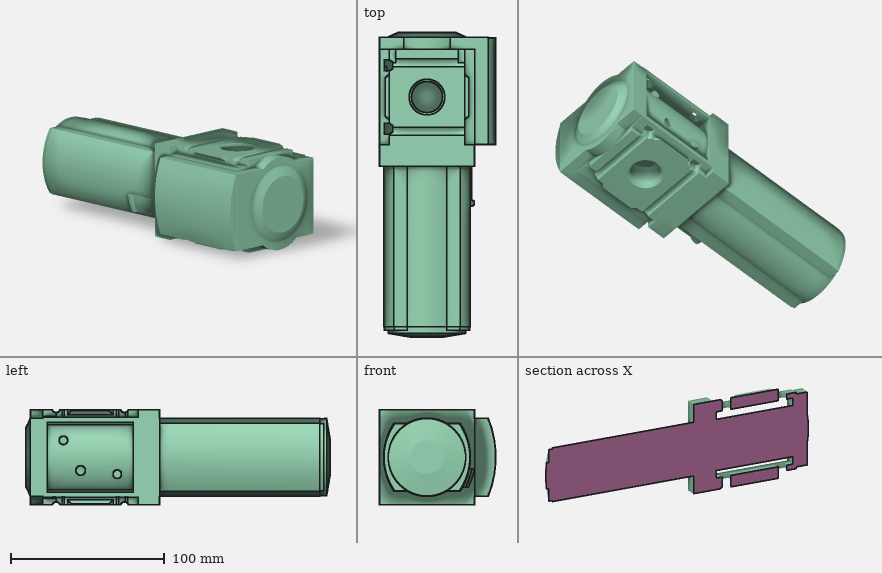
import cadquery as cq


half_body = 31.0
body_front = -45.0
body_rear = 39.0

frame_end = 31.0
strip_z = 26.0
rim_z = 25.4
pad_half_width = 24.4
rim_bulge_half_width = 15.0

groove_y = 22.2
groove_half_width = 2.6
groove_depth = 1.9
ridge_half_width = 20.3
corner_notch_z = 26.6

lug_reach = 2.7
lug_top = half_body - 0.2
lug_lip_z = 30.2
lug_foot_z = 27.7
lug_half_root = 14.8
lug_half_tip = 12.5

slot_y = 20.6
slot_half_width = 3.6
slot_key_half_width = 2.2
slot_outer_x = -27.7
slot_key_x = -22.4

port_diameter = 20.2
port_rim_diameter = 23.2
port_depth = 20.0
port_chamfer = (port_rim_diameter - port_diameter) / 2

window_half_length = 28.0
window_half_height = 22.7
window_floor_x = -20.5
barrel_radius = 29.5
pin_diameter = 5.5
pin_tip_x = -29.0
pin_y = 17.5
pin_z = 11.0
spot_diameter = 6.2
spot_y = 6.3
spot_z = -8.6
spot_floor_x = -26.9

rear_boss_base_radius = 25.2
rear_boss_tip_radius = 18.8
rear_boss_height = 3.0

cover_half_height = rim_z
cover_flat_x = 39.8
cover_crown_x = 44.8
cover_crown_rear = 38.5

bowl_half_width = 28.2
bowl_half_flat = 21.5
bowl_half_height = 22.0
bowl_end = -149.2
bowl_core_radius = 25.5
cap_radius = 25.2
cap_inset = 0.3
cap_collar_end = -151.7
cap_edge = -153.6
cap_tip = -156.0
cap_tip_radius = 11.0

latch_thickness = 1.7
latch_nose_height = 3.3
latch_nose_start = -66.8
latch_end = -71.0
latch_nose_slope = 1.0
latch_z_low = -19.4
latch_z_high = -7.5


def span_box(x0, x1, y0, y1, z0, z1):
    """Box given by its limits along the three axes."""
    return cq.Workplane("XY").box(x1 - x0, y1 - y0, z1 - z0, centered=False).translate((x0, y0, z0))


def prism_y(section, y0, y1):
    """Extrude an XZ section from y0 up to y1; the XZ plane faces -Y."""
    return section.extrude(y0 - y1).translate((0, y0, 0))


def xz():
    return cq.Workplane("XZ")


def turn_y(outline):
    """Turn a closed (radius, y) outline about the Y axis."""
    return outline.close().revolve(360, (0, 0, 0), (0, 1, 0))


def mirror_z(shape):
    """A shape together with its mirror image below the XY plane."""
    return shape.union(shape.mirror("XY"))


def top_cuts():
    """Material removed around and across the upper pad."""
    cuts = span_box(-half_body, half_body, frame_end, body_rear, rim_z, half_body)
    for side in (-1, 1):
        edges = sorted((side * pad_half_width, side * half_body))
        cuts = cuts.union(span_box(*edges, -frame_end, frame_end, strip_z, half_body))
        edges = sorted((side * ridge_half_width, side * pad_half_width))
        cuts = cuts.union(span_box(*edges, groove_y, frame_end, corner_notch_z, half_body))
    for y in (-groove_y, groove_y):
        groove = (
            cq.Workplane("YZ")
            .moveTo(y - groove_half_width, half_body)
            .threePointArc((y, half_body - groove_depth), (y + groove_half_width, half_body))
            .close()
            .extrude(pad_half_width, both=True)
        )
        cuts = cuts.union(groove)
    return cuts


def rim_bulge():
    """Arched rise in the middle of the rear rim."""
    arch = (
        xz()
        .moveTo(-rim_bulge_half_width, rim_z)
        .threePointArc((0, half_body), (rim_bulge_half_width, rim_z))
        .close()
    )
    return prism_y(arch, frame_end, body_rear)


def lug():
    """Wedge lug on the +X flank of the upper pad, narrowing outwards."""
    tip_x = pad_half_width + lug_reach
    wedge = prism_y(
        xz().polyline([
            (pad_half_width, lug_foot_z),
            (tip_x, lug_lip_z),
            (tip_x, lug_top),
            (pad_half_width, lug_top),
        ]).close(),
        -lug_half_root,
        lug_half_root,
    )
    plan = (
        cq.Workplane("XY")
        .polyline([
            (pad_half_width, -lug_half_root),
            (tip_x, -lug_half_tip),
            (tip_x, lug_half_tip),
            (pad_half_width, lug_half_root),
        ])
        .close()
        .extrude(half_body)
    )
    return wedge.intersect(plan)


def keyed_slot(y):
    """Slot from the upper face through the strip into the side window."""
    outline = cq.Workplane("XY").workplane(offset=window_half_height).polyline([
        (slot_outer_x, y - slot_half_width),
        (-pad_half_width, y - slot_half_width),
        (slot_key_x, y - slot_key_half_width),
        (slot_key_x, y + slot_key_half_width),
        (-pad_half_width, y + slot_half_width),
        (slot_outer_x, y + slot_half_width),
    ])
    return outline.close().extrude(half_body - window_half_height)


def port():
    """Blind port with a chamfered mouth in the upper face."""
    bore = cq.Workplane("XY").workplane(offset=half_body - port_depth).circle(port_diameter / 2)
    mouth = cq.Workplane("XY").workplane(offset=half_body).circle(port_rim_diameter / 2)
    cone = mouth.workplane(offset=-port_chamfer).circle(port_diameter / 2).loft()
    return bore.extrude(port_depth).union(cone)


def window():
    """Side window around the convex barrel, with its two pins and shallow flat spot."""
    opening = span_box(
        -half_body, window_floor_x,
        -window_half_length, window_half_length,
        -window_half_height, window_half_height,
    )
    barrel = prism_y(xz().circle(barrel_radius), -window_half_length, window_half_length)
    opening = opening.cut(barrel)
    for y, z in ((pin_y, pin_z), (-pin_y, -pin_z)):
        pin = cq.Workplane("YZ").workplane(offset=pin_tip_x).center(y, z).circle(pin_diameter / 2)
        opening = opening.cut(pin.extrude(window_floor_x - pin_tip_x))
    spot = cq.Workplane("YZ").workplane(offset=-half_body).center(spot_y, spot_z).circle(spot_diameter / 2)
    return opening.union(spot.extrude(spot_floor_x + half_body))


def valve_body():
    body = span_box(-half_body, half_body, body_front, body_rear, -half_body, half_body)
    body = body.cut(mirror_z(top_cuts()))
    right_lug = lug()
    body = body.union(mirror_z(rim_bulge()))
    body = body.union(mirror_z(right_lug)).union(mirror_z(right_lug.mirror("YZ")))
    body = body.cut(window())
    for y in (-slot_y, slot_y):
        body = body.cut(mirror_z(keyed_slot(y)))
    return body.cut(mirror_z(port()))


def rear_boss():
    tip = body_rear + rear_boss_height
    return turn_y(cq.Workplane("XY").polyline([
        (0, body_rear),
        (rear_boss_base_radius, body_rear),
        (rear_boss_tip_radius, tip),
        (0, tip),
    ]))


def gauge_cover():
    """Flat-sided cover with a cylindrical crown."""
    plate = span_box(
        half_body, cover_flat_x, -frame_end, body_rear, -cover_half_height, cover_half_height
    )
    crown = (
        xz()
        .moveTo(cover_flat_x, -cover_half_height)
        .threePointArc((cover_crown_x, 0), (cover_flat_x, cover_half_height))
        .close()
    )
    return plate.union(prism_y(crown, -frame_end, cover_crown_rear))


def bowl_section(inset):
    """Flat-topped section with bulging flanks."""
    flat_x = bowl_half_flat - inset
    flank_x = bowl_half_width - inset
    height = bowl_half_height - inset
    return (
        xz()
        .moveTo(-flat_x, -height)
        .lineTo(flat_x, -height)
        .threePointArc((flank_x, 0), (flat_x, height))
        .lineTo(-flat_x, height)
        .threePointArc((-flank_x, 0), (-flat_x, -height))
        .close()
    )


def bowl():
    body = prism_y(bowl_section(0), bowl_end, body_front)
    collar = prism_y(bowl_section(cap_inset), cap_collar_end, bowl_end)
    core = turn_y(cq.Workplane("XY").polyline([
        (0, body_front),
        (bowl_core_radius, body_front),
        (bowl_core_radius, bowl_end),
        (cap_radius, bowl_end),
        (cap_radius, cap_edge),
        (cap_tip_radius, cap_tip),
        (0, cap_tip),
    ]))
    return body.union(collar).union(core)


def latch():
    """Curved latch strip with a raised nose, concentric with the bowl flank."""
    rise = bowl_half_width - bowl_half_flat
    flank_radius = (bowl_half_height**2 + rise**2) / (2 * rise)
    flank_centre_x = bowl_half_width - flank_radius
    inner = flank_radius - latch_thickness
    plate = flank_radius + latch_thickness
    nose = flank_radius + latch_nose_height
    ring = turn_y(cq.Workplane("XY").polyline([
        (inner, body_front),
        (plate, body_front),
        (plate, latch_nose_start),
        (nose, latch_nose_start - latch_nose_slope),
        (nose, latch_end + latch_nose_slope),
        (plate, latch_end),
        (inner, latch_end),
    ])).translate((flank_centre_x, 0, 0))
    return ring.intersect(span_box(0, cover_crown_x, latch_end, body_front, latch_z_low, latch_z_high))


result = valve_body().union(rear_boss()).union(gauge_cover()).union(bowl()).union(latch()).clean()